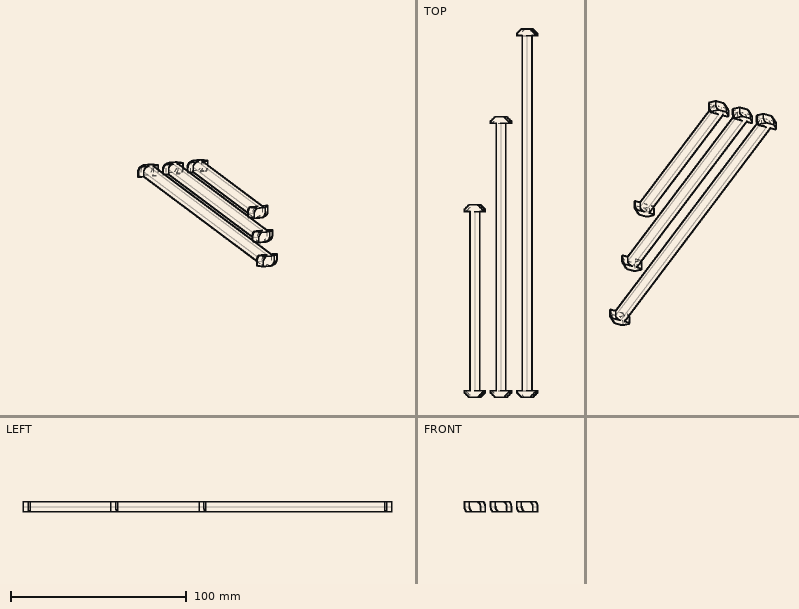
import cadquery as cq
import math

rod_lengths = [109.6, 159.7, 209.5]
rod_pitch = 14.9
height = 5.9
shank_width = 5.7
shank_rounding = 3.0
head_width = 12.0
rim_depth = 1.15
bevel_run = 2.7
bevel_angle = 45
side_arc_angle = 45

half_height = height / 2
half_head = head_width / 2
head_depth = rim_depth + bevel_run
side_arc_radius = half_height / math.sin(math.radians(side_arc_angle))
cutter_reach = head_width


def arc_inset(angle):
    """How far the side arc has moved inwards after turning by the angle."""
    return side_arc_radius * (1 - math.cos(math.radians(angle)))


def arc_rise(angle):
    """How far the side arc has climbed after turning by the angle."""
    return side_arc_radius * math.sin(math.radians(angle))


def make_side_cutter():
    """Material outside a side at X = 0: upright below mid-height, arched inwards above it."""
    middle_angle = side_arc_angle / 2
    return (
        cq.Workplane("XZ")
        .moveTo(0, -half_height)
        .lineTo(0, 0)
        .threePointArc(
            (-arc_inset(middle_angle), arc_rise(middle_angle)),
            (-arc_inset(side_arc_angle), half_height),
        )
        .lineTo(cutter_reach, half_height)
        .lineTo(cutter_reach, -half_height)
        .close()
        .extrude(cutter_reach, both=True)
    )


def make_head():
    """Head with its tip at Y = 0; its two sides are alike after a half turn about Y."""
    head = cq.Workplane("XY").box(head_width, head_depth, height).translate((0, head_depth / 2, 0))
    side_cutter = make_side_cutter().translate((half_head, 0, 0))
    bevel_cutter = (
        make_side_cutter()
        .rotate((0, 0, 0), (0, 0, 1), -bevel_angle)
        .translate((half_head, bevel_run, 0))
    )
    for half_turn in (0, 180):
        for cutter in (side_cutter, bevel_cutter):
            head = head.cut(cutter.rotate((0, 0, 0), (0, 1, 0), half_turn))
    return head


def make_shank(length):
    """Bar between the heads, rounded at its upper right and lower left edges."""
    shank_length = length - 2 * head_depth
    shank = (
        cq.Workplane("XY")
        .box(shank_width, shank_length, height)
        .translate((0, length / 2, 0))
    )
    return shank.edges("|Y").edges(">(1, 0, 1) or <(1, 0, 1)").fillet(shank_rounding)


def make_rod(length):
    """One-piece rod along Y: a shank with a head at each end."""
    near_head = make_head()
    far_head = make_head().mirror("XZ").translate((0, length, 0))
    return make_shank(length).union(near_head).union(far_head)


rods = [
    make_rod(length).translate((index * rod_pitch, 0, 0))
    for index, length in enumerate(rod_lengths)
]

result = cq.Compound.makeCompound([rod.solids().val() for rod in rods])